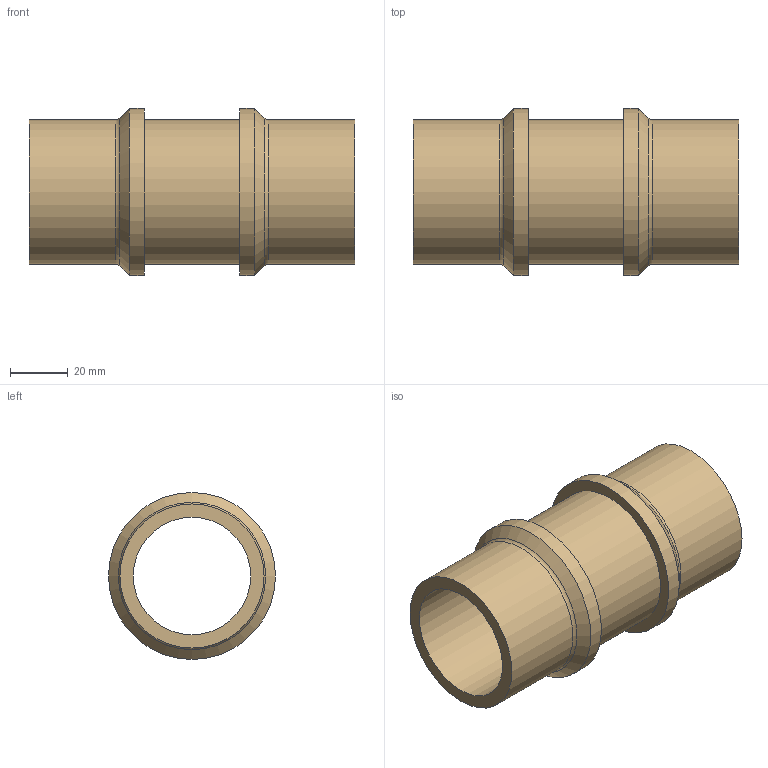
import cadquery as cq
import math

length = 113.0
bore_radius = 40.8 / 2
tube_radius = 50.0 / 2
collar_radius = 58.0 / 2
end_to_shoulder = 40.0
rim_width = 5.2
cone_angle = math.radians(45)
fillet_radius = 2.0

rim_start = end_to_shoulder - rim_width
cone_root = rim_start - (collar_radius - tube_radius) / math.tan(cone_angle)
fillet_start = cone_root - fillet_radius * math.tan(cone_angle / 2)


def fillet_point(angle):
    """Point on the concave blend where its tangent makes this angle with the axis."""
    return (
        fillet_start + fillet_radius * math.sin(angle),
        tube_radius + fillet_radius * (1 - math.cos(angle)),
    )


def revolve_about_x(profile):
    return profile.close().revolve(360, (0, 0, 0), (1, 0, 0))


def make_collar():
    """Ring with a blended conical flank towards the tube end at X = 0."""
    profile = (
        cq.Workplane("XY")
        .moveTo(fillet_start, bore_radius)
        .lineTo(fillet_start, tube_radius)
        .threePointArc(fillet_point(cone_angle / 2), fillet_point(cone_angle))
        .lineTo(rim_start, collar_radius)
        .lineTo(end_to_shoulder, collar_radius)
        .lineTo(end_to_shoulder, bore_radius)
    )
    return revolve_about_x(profile)


def make_tube():
    wall = (
        cq.Workplane("XY")
        .moveTo(0, bore_radius)
        .lineTo(0, tube_radius)
        .lineTo(length, tube_radius)
        .lineTo(length, bore_radius)
    )
    return revolve_about_x(wall)


near_collar = make_collar()
far_collar = near_collar.mirror("YZ").translate((length, 0, 0))
connector = make_tube().union(near_collar).union(far_collar)
result = connector.translate((-length / 2, 0, 0))